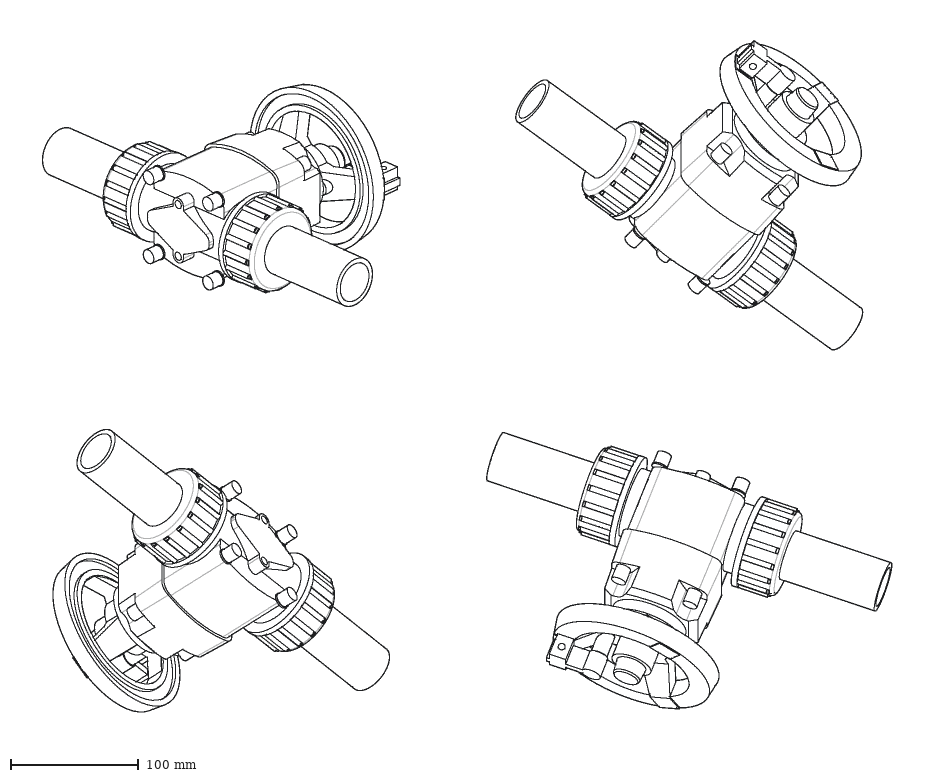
import cadquery as cq
import math


length = 324.0
pipe_dia = 40.2
bore_dia = 32.0
tube_dia = 56.0

nut_inner_x = 48.5
nut_outer_x = 82.5
nut_flange_width = 5.0
nut_flange_dia = 74.0
nut_dia = 69.0
nut_edge_radius = 3.0
rib_count = 16
rib_radius = 2.3
rib_step_length = 2.0
rib_step_height = 1.0

body_bottom_y = -20.7
body_top_y = 38.2
body_half_x = 38.5
body_crown_z = 41.8
body_corner = (30.8, 37.0)
body_side_z = 24.5
corner_bulge = 0.2
foot_y = -32.7

pad_half_x = 34.0
pad_half_z = 22.0
pad_end_z = 5.2
pad_end_radius = 6.5
boss_dia = 11.5
boss_z = 22.7
boss_hole_dia = 6.8
boss_hole_depth = 9.7

bolt_dia = 11.7
washer_dia = 12.5
washer_thickness = 1.3
lower_bolt = (32.7, 34.7)
upper_bolt = (29.8, 29.5)
upper_bolt_top_y = 79.7

bonnet_top_y = 89.7
bonnet_base = dict(half_x=41.0, crown_z=44.7, corner=(33.7, 38.5), side_z=27.0)
bonnet_end = dict(half_x=39.0, crown_z=42.5, corner=(32.7, 36.0), side_z=27.0)
bonnet_bevel_height = 4.0
bonnet_bevel_inset = 6.5
pocket_floor_y = 67.7
pocket_x = 16.0
pocket_wall_z = 21.7
pocket_arc_x = 30.8
pocket_arc_end = (22.5, 28.0)
pocket_arc_radius = 9.0
pocket_mouth_z = 43.0
collar_dia = 61.0
collar_top_y = 98.5

wheel_bottom_y = 116.3
wheel_top_y = 131.2
wheel_radius = 68.0
wheel_top_radius = 65.5
wheel_inner_radius = 48.3
groove_inner_radius = 53.5
groove_outer_radius = 63.0
groove_depth = 3.2
hub_radius = 24.0
hub_top_y = 113.7
neck_dia = 32.7

spoke_root_radius = 24.5
spoke_axis_half_width = 17.0
spoke_end_half_width = 9.7
spoke_end_radius = 64.8
spoke_pad_radius = 48.5
spoke_pad_y = 132.2
spoke_slope = 1.2
spoke_angles = (0, 120, 240)

cap_base_radius = 12.15
cap_shoulder_radius = 11.0
cap_shoulder_y = 142.0
cap_top_radius = 10.0
cap_top_y = 143.5

lever_x = 27.0
lever_radius = 7.8
lever_bottom_y = 133.0
lever_top_y = 150.0
pin_dia = 13.3
arm_half_z = 3.2
block_start_x = 48.0
block_end_x = 61.5
arm_end_x = 64.0
block_bottom_z = -lever_radius
block_top_z = 12.0
lock_hole_dia = 5.5
lock_hole = (54.8, 140.5)


def plane_at(y):
    """Workplane across the stem at height y, with local axes X and Z."""
    return cq.Workplane("XZ", origin=(0, y, 0))


def post(x, z, radius, start_y, end_y):
    """Cylinder along Y."""
    return plane_at(start_y).center(x, z).circle(radius).extrude(start_y - end_y)


def turned_about_y(points):
    """Solid of revolution about the stem from (radius, y) points."""
    return cq.Workplane("XY").polyline(points).close().revolve(360, (0, 0, 0), (0, 1, 0))


def four_corners(point):
    x, z = point
    return [(i * x, j * z) for i in (1, -1) for j in (1, -1)]


def housing_outline(workplane, half_x, crown_z, corner, side_z):
    """Flat sides, a crowned top and bottom, and an arc round each corner."""
    corner_x, corner_z = corner
    bulge = corner_bulge * math.hypot(half_x - corner_x, corner_z - side_z)
    across = math.atan2(half_x - corner_x, corner_z - side_z)
    mid_x = (half_x + corner_x) / 2 + bulge * math.cos(across)
    mid_z = (side_z + corner_z) / 2 + bulge * math.sin(across)
    return (
        workplane.moveTo(half_x, -side_z)
        .lineTo(half_x, side_z)
        .threePointArc((mid_x, mid_z), (corner_x, corner_z))
        .threePointArc((0, crown_z), (-corner_x, corner_z))
        .threePointArc((-mid_x, mid_z), (-half_x, side_z))
        .lineTo(-half_x, -side_z)
        .threePointArc((-mid_x, -mid_z), (-corner_x, -corner_z))
        .threePointArc((0, -crown_z), (corner_x, -corner_z))
        .threePointArc((mid_x, -mid_z), (half_x, -side_z))
        .close()
    )


def nut():
    """Union nut on the +X side: a flanged ring with half-round ribs whose outer ends step down."""
    rib_start_x = nut_inner_x + nut_flange_width
    rib_end_x = nut_outer_x - nut_edge_radius
    tip_radius = nut_dia / 2 + rib_radius
    step_radius = nut_dia / 2 + rib_step_height
    blank = cq.Workplane("YZ", origin=(nut_inner_x, 0, 0)).circle(nut_dia / 2)
    blank = blank.extrude(nut_outer_x - nut_inner_x).faces(">X").edges().fillet(nut_edge_radius)
    flange = cq.Workplane("YZ", origin=(nut_inner_x, 0, 0)).circle(nut_flange_dia / 2)
    flange = flange.extrude(nut_flange_width)
    ribs = (
        cq.Workplane("YZ", origin=(rib_start_x, 0, 0))
        .polarArray(nut_dia / 2, 0, 360, rib_count)
        .circle(rib_radius)
        .extrude(rib_end_x - rib_start_x)
    )
    envelope = (
        cq.Workplane("XY")
        .polyline(
            [
                (rib_start_x, 0),
                (rib_start_x, tip_radius),
                (rib_end_x - rib_step_length, tip_radius),
                (rib_end_x - rib_step_length, step_radius),
                (rib_end_x, step_radius),
                (rib_end_x, 0),
            ]
        )
        .close()
        .revolve(360, (0, 0, 0), (1, 0, 0))
    )
    return blank.union(flange).union(ribs.intersect(envelope))


def pipe_run():
    pipe = cq.Workplane("YZ").circle(pipe_dia / 2).extrude(length / 2, both=True)
    tube = cq.Workplane("YZ").circle(tube_dia / 2).extrude(nut_inner_x, both=True)
    right_nut = nut()
    return pipe.union(tube).union(right_nut).union(right_nut.mirror("YZ"))


def body():
    shell = housing_outline(plane_at(body_bottom_y), body_half_x, body_crown_z, body_corner, body_side_z)
    return shell.extrude(body_bottom_y - body_top_y)


def bottom_pad():
    """Diamond pad and its two screw bosses, reaching up into the tube."""
    outline = [
        (pad_half_x, -pad_end_z),
        (pad_half_x, pad_end_z),
        (0, pad_half_z),
        (-pad_half_x, pad_end_z),
        (-pad_half_x, -pad_end_z),
        (0, -pad_half_z),
    ]
    pad = plane_at(foot_y).polyline(outline).close().extrude(foot_y)
    pad = pad.edges("|Y and (>X or <X)").fillet(pad_end_radius)
    pad = pad.union(plane_at(foot_y).rect(boss_dia, 2 * boss_z).extrude(foot_y - body_bottom_y))
    for z in (boss_z, -boss_z):
        pad = pad.union(post(0, z, boss_dia / 2, foot_y, body_bottom_y))
    for z in (boss_z, -boss_z):
        pad = pad.cut(post(0, z, boss_hole_dia / 2, foot_y, foot_y + boss_hole_depth))
    return pad


def lower_bolts():
    bolts = cq.Workplane("XY")
    for x, z in four_corners(lower_bolt):
        bolts = bolts.union(post(x, z, bolt_dia / 2, foot_y, body_bottom_y))
        bolts = bolts.union(post(x, z, washer_dia / 2, body_bottom_y - washer_thickness, body_bottom_y))
    return bolts


def corner_pocket():
    """Cutter for the bolt pocket at the +X +Z corner."""
    reach = 2 * body_half_x
    return (
        plane_at(pocket_floor_y)
        .moveTo(pocket_x, reach)
        .lineTo(pocket_x, pocket_mouth_z)
        .lineTo(*pocket_arc_end)
        .radiusArc((pocket_arc_x, pocket_wall_z), -pocket_arc_radius)
        .lineTo(reach, pocket_wall_z)
        .lineTo(reach, reach)
        .close()
        .extrude(pocket_floor_y - bonnet_top_y)
    )


def bonnet():
    """Drafted cover with a bevelled top, a bolt pocket in each corner and a round collar."""
    base = housing_outline(plane_at(body_top_y), **bonnet_base)
    height = bonnet_top_y - body_top_y
    cover = housing_outline(base.workplane(offset=-height), **bonnet_end).loft(combine=True)
    cover = cover.faces(">Y").chamfer(bonnet_bevel_height, bonnet_bevel_inset)
    pocket = corner_pocket()
    for cutter in (pocket, pocket.mirror("YZ")):
        cover = cover.cut(cutter).cut(cutter.mirror("XY"))
    for x, z in four_corners(upper_bolt):
        cover = cover.union(post(x, z, bolt_dia / 2, pocket_floor_y, upper_bolt_top_y))
    return cover.union(post(0, 0, collar_dia / 2, bonnet_top_y, collar_top_y))


def rim():
    """Handwheel rim with a ring groove in its underside."""
    groove_y = wheel_bottom_y + groove_depth
    return turned_about_y(
        [
            (wheel_radius, wheel_bottom_y),
            (wheel_top_radius, wheel_top_y),
            (wheel_inner_radius, wheel_top_y),
            (wheel_inner_radius, wheel_bottom_y),
            (groove_inner_radius, wheel_bottom_y),
            (groove_inner_radius, groove_y),
            (groove_outer_radius, groove_y),
            (groove_outer_radius, wheel_bottom_y),
        ]
    )


def hub():
    """Hub with a narrower neck, and the stem cap on top."""
    return turned_about_y(
        [
            (0, collar_top_y),
            (hub_radius, collar_top_y),
            (hub_radius, hub_top_y),
            (neck_dia / 2, hub_top_y),
            (neck_dia / 2, wheel_top_y),
            (cap_base_radius, wheel_top_y),
            (cap_shoulder_radius, cap_shoulder_y),
            (cap_top_radius, cap_top_y),
            (0, cap_top_y),
        ]
    )


def spoke():
    """Spoke along +X: a sloping gusset from the hub to the rim, narrowing outwards."""
    pad_rise = spoke_pad_y - hub_top_y
    slope_rise = wheel_top_y - collar_top_y
    side = [
        (0, collar_top_y),
        (spoke_root_radius, collar_top_y),
        (spoke_root_radius + spoke_slope * slope_rise, wheel_top_y),
        (spoke_end_radius, spoke_pad_y),
        (spoke_pad_radius, spoke_pad_y),
        (spoke_pad_radius - spoke_slope * pad_rise, hub_top_y),
        (0, hub_top_y),
    ]
    plan = [
        (0, -spoke_axis_half_width),
        (spoke_pad_radius, -spoke_end_half_width),
        (spoke_end_radius, -spoke_end_half_width),
        (spoke_end_radius, spoke_end_half_width),
        (spoke_pad_radius, spoke_end_half_width),
        (0, spoke_axis_half_width),
    ]
    gusset = cq.Workplane("XY").polyline(side).close().extrude(spoke_axis_half_width, both=True)
    blade = plane_at(collar_top_y).polyline(plan).close().extrude(collar_top_y - spoke_pad_y)
    return gusset.intersect(blade)


def handwheel():
    wheel = rim().union(hub())
    for angle in spoke_angles:
        wheel = wheel.union(spoke().rotate((0, 0, 0), (0, 1, 0), angle))
    return wheel


def slab(start_x, end_x, start_y, end_y, start_z, end_z):
    """Box given by its limits."""
    size = (end_x - start_x, end_y - start_y, end_z - start_z)
    return cq.Workplane("XY").box(*size, centered=False).translate((start_x, start_y, start_z))


def lever():
    """Locking lever: a round head on a pin, and an arm with a drilled block resting on the rim."""
    head = post(lever_x, 0, lever_radius, lever_bottom_y, lever_top_y)
    pin = post(lever_x, 0, pin_dia / 2, collar_top_y, lever_bottom_y)
    arm = slab(lever_x, arm_end_x, lever_bottom_y, lever_top_y, -arm_half_z, arm_half_z)
    block = slab(block_start_x, block_end_x, wheel_top_y, lever_top_y, block_bottom_z, block_top_z)
    hole = cq.Workplane("XY").center(*lock_hole).circle(lock_hole_dia / 2).extrude(wheel_radius, both=True)
    return head.union(pin).union(arm).union(block).cut(hole)


def pipe_bores():
    """Blind bores from both pipe ends up to the body walls."""
    depth = length / 2 - body_half_x
    bore = cq.Workplane("YZ", origin=(body_half_x, 0, 0)).circle(bore_dia / 2).extrude(depth)
    return bore.union(bore.mirror("YZ"))


result = pipe_run()
for piece in (body(), bottom_pad(), lower_bolts(), bonnet(), handwheel(), lever()):
    result = result.union(piece)
result = result.cut(pipe_bores())